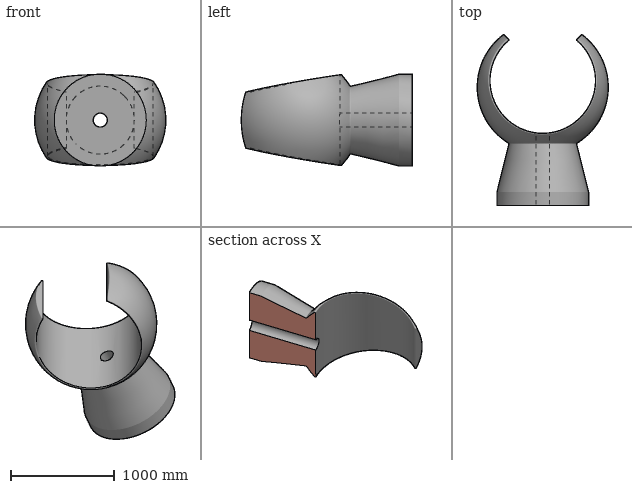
import cadquery as cq
import math

ball_radius = 635.0
ball_center_y = 1143.0
bore_radius = 508.0
bore_center_y = 1206.5
mouth_apex_y = 1277.2
mouth_half_angle = 45.0
edge_fillet = 9.525

base_radius = 444.5
base_length = 127.0
neck_length = 482.6
neck_end_radius = 323.85
neck_fillet = 9.525
hole_radius = 66.675


def make_ball():
    """Sphere that forms the outside of the clamp."""
    return cq.Workplane("XY").sphere(ball_radius).translate((0, ball_center_y, 0))


def make_bore():
    """Cylinder through the clamp along Z."""
    return cq.Workplane("XY").center(0, bore_center_y).circle(bore_radius).extrude(ball_radius, both=True)


def make_mouth():
    """Wedge that opens the clamp towards +Y."""
    depth = 2 * ball_radius
    half_width = depth * math.tan(math.radians(mouth_half_angle))
    far_y = mouth_apex_y + depth
    outline = [(0, mouth_apex_y), (half_width, far_y), (-half_width, far_y)]
    return cq.Workplane("XY").polyline(outline).close().extrude(ball_radius, both=True)


def make_clamp():
    """Ball with the bore and mouth removed and all its edges rounded."""
    open_ring = make_ball().cut(make_bore()).cut(make_mouth())
    return open_ring.edges().fillet(edge_fillet)


def make_stem():
    """Round base and tapered neck along Y; the neck ends inside the ball wall."""
    neck_end_y = base_length + neck_length
    outline = [
        (0, 0),
        (base_radius, 0),
        (base_radius, base_length),
        (neck_end_radius, neck_end_y),
        (0, neck_end_y),
    ]
    return cq.Workplane("XY").polyline(outline).close().revolve(360, (0, 0, 0), (0, 1, 0))


def make_hole():
    """Hole along Y from the base face into the bore."""
    return cq.Workplane("XZ").circle(hole_radius).extrude(-bore_center_y)


def is_neck_root(edge):
    """True for an edge of the ring where the neck meets the ball."""
    box = edge.BoundingBox()
    return box.ymin > base_length and box.ymax < bore_center_y - bore_radius


def make_body():
    """Clamp and stem joined, with a fillet around the neck root."""
    body = make_clamp().union(make_stem())
    root_edges = [edge for edge in body.edges().vals() if is_neck_root(edge)]
    return body.newObject(root_edges).fillet(neck_fillet)


result = make_body().cut(make_hole())